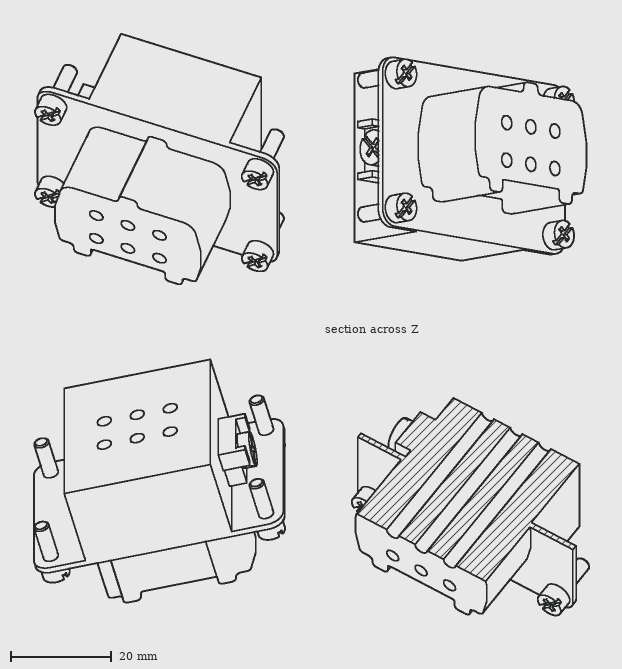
import cadquery as cq
import math


FLANGE_WIDTH = 51.0
FLANGE_HEIGHT = 34.0
FLANGE_THICKNESS = 1.2
FLANGE_CORNER_RADIUS = 3.25
HOUSING_WIDTH = 29.9
HOUSING_BACK = 18.55

PLUG_LENGTH = 16.0
PLUG_HALF_WIDTH = 15.55
PLUG_TOP = 10.45
PLUG_LEDGE = -7.95
PLUG_FLOOR = -7.8
SIDE_HALF_HEIGHT = 2.55
FLANK_SLOPE = 0.203
SHOULDER_RADIUS = 3.05
KEY_TOP = 12.6
KEY_HALF_WIDTH = 2.0
FOOT_BOTTOM = -10.45
FOOT_INNER_X = 7.9
FOOT_OUTER_X = 11.55
KEY_RADIUS = 1.0
FOOT_ROOT_RADIUS = 0.5

HOLE_DIAMETER = 2.8
HOLE_PITCH_X = 6.75
HOLE_PITCH_Z = 7.55

SLOT_WIDTH = 0.95
SLOT_DEPTH = 0.9

SCREW_SPACING_X = 44.0
SCREW_SPACING_Z = 27.0
SCREW_HEAD_DIAMETER = 5.5
SCREW_HEAD_HEIGHT = 3.25
SCREW_SHANK_DIAMETER = 3.0
SCREW_TIP = 9.3
SCREW_TIP_CHAMFER = 0.3
SCREW_CROSS_LENGTH = 3.0

TERMINAL_SIZE = 9.15
TERMINAL_FRONT = 2.95
TERMINAL_X = -18.5
EAR_X = -20.4
EAR_LENGTH = 4.05
EAR_THICKNESS = 1.3
TERMINAL_SCREW_DIAMETER = 7.0
TERMINAL_SCREW_X = -20.85
TERMINAL_CROSS_LENGTH = 4.0


def box_between(x_range, y_range, z_range):
    """Axis-aligned box between pairs of coordinates."""
    size = [end - start for start, end in (x_range, y_range, z_range)]
    corner = (x_range[0], y_range[0], z_range[0])
    return cq.Workplane("XY").box(*size, centered=False).translate(corner)


def facing_front(y):
    """XZ workplane at depth y; extrusion goes toward +Y, local axes are X and -Z."""
    return cq.Workplane(cq.Plane(origin=(0, y, 0), xDir=(1, 0, 0), normal=(0, 1, 0)))


def cross_slots(head_face, slot_length, cross_length):
    """Cutter for a full slot with a shorter crossing slot, both diagonal on the head face."""
    slot = head_face.transformed(rotate=(0, 0, -45)).rect(slot_length, SLOT_WIDTH).extrude(SLOT_DEPTH)
    cross = head_face.transformed(rotate=(0, 0, 45)).rect(cross_length, SLOT_WIDTH).extrude(SLOT_DEPTH)
    return slot.union(cross)


def make_housing():
    flange = facing_front(0).rect(FLANGE_WIDTH, FLANGE_HEIGHT).extrude(FLANGE_THICKNESS)
    flange = flange.edges("|Y").fillet(FLANGE_CORNER_RADIUS)
    housing = facing_front(0).rect(HOUSING_WIDTH, FLANGE_HEIGHT).extrude(HOUSING_BACK)
    return flange.union(housing)


def flank_x(z):
    """Half width of the plug at height z on its sloping flanks."""
    return PLUG_HALF_WIDTH - FLANK_SLOPE * (abs(z) - SIDE_HALF_HEIGHT)


def make_plug():
    half_outline = [
        (KEY_HALF_WIDTH, KEY_TOP, KEY_RADIUS),
        (KEY_HALF_WIDTH, PLUG_TOP, KEY_RADIUS),
        (flank_x(PLUG_TOP), PLUG_TOP, SHOULDER_RADIUS),
        (PLUG_HALF_WIDTH, SIDE_HALF_HEIGHT, 0),
        (PLUG_HALF_WIDTH, -SIDE_HALF_HEIGHT, 0),
        (flank_x(PLUG_LEDGE), PLUG_LEDGE, KEY_RADIUS),
        (FOOT_OUTER_X, PLUG_LEDGE, KEY_RADIUS),
        (FOOT_OUTER_X, FOOT_BOTTOM, KEY_RADIUS),
        (FOOT_INNER_X, FOOT_BOTTOM, KEY_RADIUS),
        (FOOT_INNER_X, PLUG_FLOOR, FOOT_ROOT_RADIUS),
    ]
    right = [(x, z) for x, z, radius in half_outline]
    left = [(-x, z) for x, z in reversed(right)]
    plug = cq.Workplane("XZ").polyline(right + left).close().extrude(PLUG_LENGTH)
    for x, z, radius in half_outline:
        if radius:
            for side in (-1, 1):
                corner = cq.selectors.NearestToPointSelector((side * x, -PLUG_LENGTH / 2, z))
                plug = plug.edges("|Y").edges(corner).fillet(radius)
    return plug


def make_contact_holes():
    holes = facing_front(-PLUG_LENGTH).rarray(HOLE_PITCH_X, HOLE_PITCH_Z, 3, 2)
    return holes.circle(HOLE_DIAMETER / 2).extrude(PLUG_LENGTH + HOUSING_BACK)


def make_mounting_screw():
    shank = facing_front(0).circle(SCREW_SHANK_DIAMETER / 2).extrude(SCREW_TIP)
    shank = shank.faces(">Y").chamfer(SCREW_TIP_CHAMFER)
    head_face = facing_front(-SCREW_HEAD_HEIGHT)
    head = head_face.circle(SCREW_HEAD_DIAMETER / 2).extrude(SCREW_HEAD_HEIGHT)
    head = head.cut(cross_slots(head_face, 2 * SCREW_HEAD_DIAMETER, SCREW_CROSS_LENGTH))
    return shank.union(head)


def make_earth_terminal():
    wall_x = -HOUSING_WIDTH / 2
    half_size = TERMINAL_SIZE / 2
    back = TERMINAL_FRONT + TERMINAL_SIZE
    terminal = box_between((TERMINAL_X, wall_x), (TERMINAL_FRONT, back), (-half_size, half_size))

    ear_top = half_size + EAR_THICKNESS
    for z_range in ((half_size, ear_top), (-ear_top, -half_size)):
        terminal = terminal.union(box_between((EAR_X, wall_x), (back - EAR_LENGTH, back), z_range))

    head_center = (TERMINAL_SCREW_X, TERMINAL_FRONT + half_size, 0)
    head_face = cq.Workplane(cq.Plane(origin=head_center, xDir=(0, 0, 1), normal=(1, 0, 0)))
    head = head_face.circle(TERMINAL_SCREW_DIAMETER / 2).extrude(wall_x - TERMINAL_SCREW_X)
    slots = cross_slots(head_face, TERMINAL_SCREW_DIAMETER, TERMINAL_CROSS_LENGTH)
    return terminal.union(head.cut(slots))


result = make_housing().union(make_plug()).cut(make_contact_holes())
screw = make_mounting_screw()
for x in (-SCREW_SPACING_X / 2, SCREW_SPACING_X / 2):
    for z in (-SCREW_SPACING_Z / 2, SCREW_SPACING_Z / 2):
        result = result.union(screw.translate((x, 0, z)))
result = result.union(make_earth_terminal())